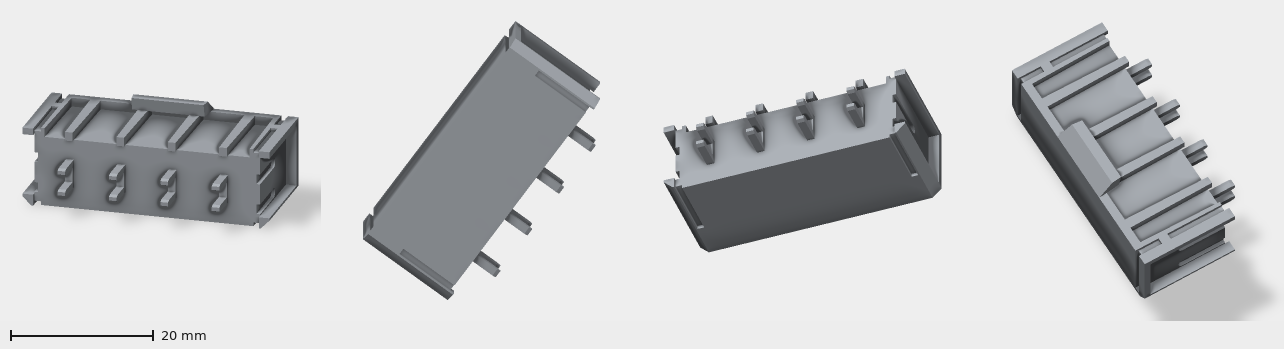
import cadquery as cq


length = 36.07
height = 11.55
housing_depth = 14.15
rail_depth = 14.8

recess_depth = 1.55
upper_rail_height = 0.97
lower_rail_height = 1.65
rear_post_width = 0.97
lower_edge_chamfer = 1.3

keyway_width = 1.45
keyway_depth = 0.55
keyway_length = 7.65
keyway_centers_z = (2.6, 7.07)

slot_width = 0.97
slot_depth = 0.55
rear_slot_length = 3.8
bridge_length = 1.45

pocket_depth = 1.3
pocket_rear_wall = 1.3
pocket_rear_length = 29.45
pocket_front_length = 29.95
rib_rear_width = 1.5

terminal_count = 4
terminal_pitch = 7.5
terminal_width = 1.12
terminal_reach = 18.58
terminal_bottom = 3.17
terminal_top = 7.3
prong_thickness = 0.97
tip_length = 0.55
tip_bevel = 0.2

latch_height = 1.85
latch_ramp_run = 2.27
latch_base_depth = 3.45
latch_top_depth = 3.82
latch_rear_width = 11.4
latch_front_width = 10.55

half_length = length / 2
recess_floor = half_length - recess_depth
pocket_floor = height - pocket_depth
terminal_centers = [
    (i - (terminal_count - 1) / 2) * terminal_pitch for i in range(terminal_count)
]


def block(x_range, y_range, z_range):
    """Box between the given limits, each range in either order."""
    ranges = (x_range, y_range, z_range)
    sizes = [abs(b - a) for a, b in ranges]
    corner = tuple(min(limits) for limits in ranges)
    return cq.Workplane("XY").box(*sizes, centered=False).translate(corner)


def taper(center_x, rear_y, rear_width, front_y, front_width, bottom, rise):
    """Upright prism whose plan is a symmetric trapezoid."""
    return (
        cq.Workplane("XY", origin=(center_x, 0, bottom))
        .polyline([
            (-rear_width / 2, rear_y),
            (rear_width / 2, rear_y),
            (front_width / 2, front_y),
            (-front_width / 2, front_y),
        ])
        .close()
        .extrude(rise)
    )


def side_profile(points, center_x, width):
    """Prism along X from an outline of (Y, Z) points."""
    return (
        cq.Workplane("YZ", origin=(center_x, 0, 0))
        .polyline(points)
        .close()
        .extrude(width / 2, both=True)
    )


def make_housing():
    """Block with chamfered lower ends, cut back at the front between the rails."""
    housing = block((-half_length, half_length), (-rail_depth, 0), (0, height))
    housing = housing.edges("|Y and <Z").chamfer(lower_edge_chamfer)
    front_clearance = block(
        (-recess_floor, recess_floor), (-rail_depth, -housing_depth), (0, height)
    )
    return housing.cut(front_clearance)


def end_cuts(side):
    """Recess, keyways and rail slots for one end; side is -1 or 1."""
    recess = block(
        (side * recess_floor, side * half_length),
        (-rail_depth, -rear_post_width),
        (lower_rail_height, height - upper_rail_height),
    )
    cuts = [recess]

    keyway_x = (side * recess_floor, side * (recess_floor - keyway_depth))
    keyway_end = keyway_length - housing_depth
    for center_z in keyway_centers_z:
        keyway_z = (center_z - keyway_width / 2, center_z + keyway_width / 2)
        round_center = keyway_end - keyway_width / 2
        cuts.append(block(keyway_x, (-housing_depth, round_center), keyway_z))
        cuts.append(
            cq.Workplane("YZ", origin=(min(keyway_x), 0, 0))
            .center(round_center, center_z)
            .circle(keyway_width / 2)
            .extrude(keyway_depth)
        )

    slot_x = (side * recess_floor, side * (recess_floor - slot_width))
    front_slot_y = (-housing_depth, -rear_slot_length - bridge_length)
    cuts.append(block(slot_x, front_slot_y, (height - slot_depth, height)))
    cuts.append(block(slot_x, front_slot_y, (0, slot_depth)))
    cuts.append(block(slot_x, (-rear_slot_length, 0), (height - slot_depth, height)))
    cuts.append(block(slot_x, (-slot_depth, 0), (slot_depth, height)))
    return cuts


def make_pocket():
    """Flaring pocket in the top, open at the front."""
    return taper(
        0, -pocket_rear_wall, pocket_rear_length,
        -housing_depth, pocket_front_length, pocket_floor, pocket_depth,
    )


def make_rib(center_x):
    """Rib that narrows toward its front end, which overhangs the housing."""
    return taper(
        center_x, -pocket_rear_wall, rib_rear_width,
        -rail_depth, terminal_width, pocket_floor, pocket_depth,
    )


def make_terminal(center_x):
    """U-shaped terminal with two prongs beveled at their tips."""
    bevel_y = -terminal_reach + tip_length
    upper_prong_bottom = terminal_top - prong_thickness
    lower_prong_top = terminal_bottom + prong_thickness
    outline = [
        (-housing_depth, terminal_bottom),
        (bevel_y, terminal_bottom),
        (-terminal_reach, terminal_bottom + tip_bevel),
        (-terminal_reach, lower_prong_top - tip_bevel),
        (bevel_y, lower_prong_top),
        (-rail_depth, lower_prong_top),
        (-rail_depth, upper_prong_bottom),
        (bevel_y, upper_prong_bottom),
        (-terminal_reach, upper_prong_bottom + tip_bevel),
        (-terminal_reach, terminal_top - tip_bevel),
        (bevel_y, terminal_top),
        (-housing_depth, terminal_top),
    ]
    return side_profile(outline, center_x, terminal_width)


def make_latch():
    """Ramped latch that narrows toward the front and overhangs the pocket."""
    outline = [
        (0, height),
        (-latch_ramp_run, height + latch_height),
        (-latch_top_depth, height + latch_height),
        (-latch_base_depth, height),
    ]
    ramp = side_profile(outline, 0, latch_rear_width)
    plan = taper(
        0, 0, latch_rear_width, -latch_top_depth, latch_front_width, height, latch_height
    )
    return ramp.intersect(plan)


result = make_housing()
for side in (-1, 1):
    for cut in end_cuts(side):
        result = result.cut(cut)
result = result.cut(make_pocket())
for center_x in terminal_centers:
    result = result.union(make_rib(center_x))
    result = result.union(make_terminal(center_x))
result = result.union(make_latch())